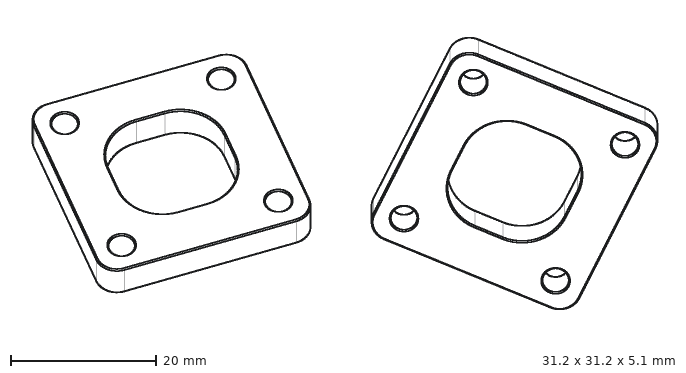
import cadquery as cq

side = 31.2
thickness = 5.1
corner_radius = 3.0

window_side = 17.0
window_corner_radius = 6.4

hole_diameter = 3.6
hole_spacing = 22.95

edge_chamfer = 0.2


def rounded_square_prism(width, radius):
    """Square prism of the plate thickness with rounded vertical edges."""
    return (
        cq.Workplane("XY")
        .rect(width, width)
        .extrude(thickness)
        .edges("|Z")
        .fillet(radius)
    )


def mounting_holes():
    """Four through-hole cylinders on a square pattern."""
    return (
        cq.Workplane("XY")
        .rect(hole_spacing, hole_spacing, forConstruction=True)
        .vertices()
        .circle(hole_diameter / 2)
        .extrude(thickness)
    )


plate = rounded_square_prism(side, corner_radius)
plate = plate.cut(rounded_square_prism(window_side, window_corner_radius))
plate = plate.cut(mounting_holes())

result = plate.faces("<Z or >Z").edges().chamfer(edge_chamfer)